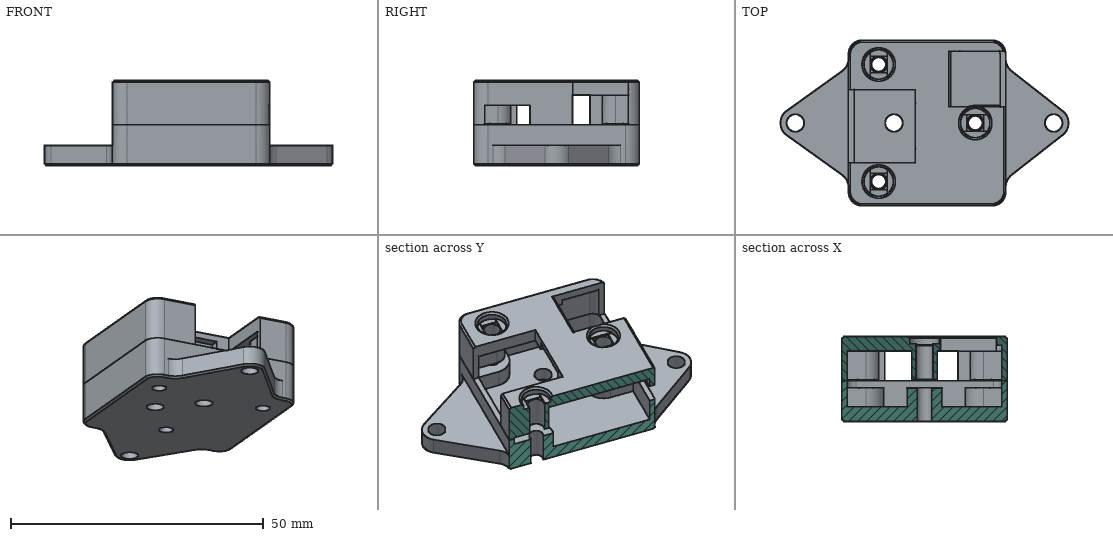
import cadquery as cq
import math

body_min_x = -15.05
body_max_x = 16.05
body_width = 32.75
corner_radius = 2.8
wall = 1.15
inner_corner_radius = corner_radius - wall
edge_chamfer = 0.4

total_height = 16.8
split_z = 8.1
floor_z = 2.95
base_boss_top_z = 6.65
lid_boss_bottom_z = 8.25
roof_underside_z = 13.9

inner_min_x = body_min_x + wall
inner_max_x = body_max_x - wall
inner_half_width = body_width / 2 - wall

ear_tip_x = 28.5
ear_radius = 2.95
ear_thickness = 4.0
ear_root_half_width = 11.15
ear_root_fillet = 3.0
ear_hole_diameter = 3.4
ear_hole_x = ear_tip_x - ear_radius

left_screw_x = -9.05
left_screw_y = 11.55
right_screw_x = 10.0
LEFT_SCREWS = [(left_screw_x, left_screw_y), (left_screw_x, -left_screw_y)]
RIGHT_SCREW = (right_screw_x, 0.0)
SCREWS = LEFT_SCREWS + [RIGHT_SCREW]

base_boss_radius = 3.5
base_screw_diameter = 2.8
floor_hole_diameter = 3.4
FLOOR_HOLES = [(-6.05, 0.0), (0.2, 7.6)]

lid_boss_radius = 2.55
lid_screw_diameter = 3.3
counterbore_diameter = 5.8
counterbore_depth = 1.4
bridge_layer = 0.2
left_window_end_x = -1.8
left_window_min_y = -7.8
left_window_max_y = 6.6
right_window_start_x = 5.2
right_window_min_y = 3.2
right_window_max_y = 14.2
notch_min_y = -5.05
notch_max_y = 3.9
notch_top_z = 15.55
notch_depth = 2.0
roof_pocket_min_x = 7.0
roof_pocket_top_z = 15.05
side_slot_min_y = -right_window_max_y
side_slot_max_y = -5.25
side_slot_top_z = 11.9


def block(x_range, y_range, z_range):
    """Axis-aligned box between the given limits."""
    (x0, x1), (y0, y1), (z0, z1) = x_range, y_range, z_range
    return cq.Workplane("XY").box(x1 - x0, y1 - y0, z1 - z0, centered=False).translate((x0, y0, z0))


def cylinder(place, diameter, z_range):
    """Upright cylinder at an (x, y) place."""
    z0, z1 = z_range
    return cq.Workplane("XY", origin=(*place, z0)).circle(diameter / 2).extrude(z1 - z0)


def rounded_box(inset, radius, z_range):
    """Housing outline moved inward by inset, with rounded vertical edges."""
    x_range = (body_min_x + inset, body_max_x - inset)
    half_width = body_width / 2 - inset
    return block(x_range, (-half_width, half_width), z_range).edges("|Z").fillet(radius)


def screw_boss(place, radius, z_range):
    """Round boss whose tangent sides run on into the nearest walls, trimmed to the cavity."""
    x, y = place
    boss = cylinder(place, 2 * radius, z_range)
    wall_x = inner_min_x if x < 0 else inner_max_x
    side_y = (y - radius, y + radius)
    boss = boss.union(block(sorted((x, wall_x)), side_y, z_range))
    if y:
        wall_y = math.copysign(inner_half_width, y)
        boss = boss.union(block((x - radius, x + radius), sorted((y, wall_y)), z_range))
        boss = boss.union(block(sorted((x, wall_x)), sorted((y, wall_y)), z_range))
    return boss.intersect(rounded_box(wall, inner_corner_radius, z_range))


def ear(side):
    """Tapered ear on the -X (side = -1) or +X (side = 1) end, tangent to its round tip."""
    root_x = body_min_x if side < 0 else body_max_x
    run = ear_hole_x - abs(root_x)
    reach = math.hypot(run, ear_root_half_width)
    tangent_angle = math.atan2(ear_root_half_width, -run) - math.acos(ear_radius / reach)
    tangent_x = side * (ear_hole_x + ear_radius * math.cos(tangent_angle))
    tangent_y = ear_radius * math.sin(tangent_angle)
    return (
        cq.Workplane("XY")
        .moveTo(0, ear_root_half_width)
        .lineTo(root_x, ear_root_half_width)
        .lineTo(tangent_x, tangent_y)
        .threePointArc((side * ear_tip_x, 0), (tangent_x, -tangent_y))
        .lineTo(root_x, -ear_root_half_width)
        .lineTo(0, -ear_root_half_width)
        .close()
        .extrude(ear_thickness)
    )


def fillet_ear_roots(base):
    """Round the four upright edges where the ears meet the body."""
    for x in (body_min_x, body_max_x):
        for y in (-ear_root_half_width, ear_root_half_width):
            near_edge = cq.selectors.BoxSelector((x - 0.55, y - 0.55, 0), (x + 0.55, y + 0.55, ear_thickness))
            base = base.edges("|Z").edges(near_edge).fillet(ear_root_fillet)
    return base


def make_base():
    """Lower tray with mounting ears, screw bosses and floor holes."""
    base = rounded_box(0, corner_radius, (0, split_z)).union(ear(-1)).union(ear(1))
    base = fillet_ear_roots(base)
    base = base.faces("<Z").chamfer(edge_chamfer)
    base = base.cut(rounded_box(wall, inner_corner_radius, (floor_z, split_z)))
    for place in SCREWS:
        base = base.union(screw_boss(place, base_boss_radius, (floor_z, base_boss_top_z)))
    for place in SCREWS:
        base = base.cut(cylinder(place, base_screw_diameter, (0, base_boss_top_z)))
    for place in FLOOR_HOLES:
        base = base.cut(cylinder(place, floor_hole_diameter, (0, floor_z)))
    for x in (-ear_hole_x, ear_hole_x):
        base = base.cut(cylinder((x, 0), ear_hole_diameter, (0, ear_thickness)))
    return base


def screw_recess(place, slot_along_x):
    """Chamfered counterbore, then a slot layer and a square layer, then the round screw hole."""
    x, y = place
    half_hole = lid_screw_diameter / 2
    counterbore_z = total_height - counterbore_depth
    slot_z = counterbore_z - bridge_layer
    square_z = slot_z - bridge_layer
    narrow_x = (x - half_hole, x + half_hole)
    narrow_y = (y - half_hole, y + half_hole)
    half_bore = counterbore_diameter / 2

    recess = cylinder(place, counterbore_diameter, (counterbore_z, total_height))
    countersink = (
        cq.Workplane("XY", origin=(x, y, total_height))
        .circle(half_bore + edge_chamfer)
        .workplane(offset=-edge_chamfer)
        .circle(half_bore)
        .loft()
    )
    slot_x = (x - half_bore, x + half_bore) if slot_along_x else narrow_x
    slot_y = narrow_y if slot_along_x else (y - half_bore, y + half_bore)
    slot_layer = block(slot_x, slot_y, (slot_z, counterbore_z))
    slot_layer = slot_layer.intersect(cylinder(place, counterbore_diameter, (slot_z, counterbore_z)))
    square_layer = block(narrow_x, narrow_y, (square_z, slot_z))
    hole = cylinder(place, lid_screw_diameter, (lid_boss_bottom_z, square_z))
    return recess.union(countersink).union(slot_layer).union(square_layer).union(hole)


def cut_left_window(lid):
    """Opening through the roof and the -X wall, with a notch under the roof at its inner end."""
    window = block(
        (body_min_x, left_window_end_x),
        (left_window_min_y, left_window_max_y),
        (split_z, total_height),
    )
    notch = block(
        (left_window_end_x, left_window_end_x + notch_depth),
        (notch_min_y, notch_max_y),
        (roof_underside_z, notch_top_z),
    )
    return lid.cut(window).cut(notch)


def cut_right_window(lid):
    """Opening through the roof and the +X wall, with a chamfered inner edge and a roof pocket."""
    y_range = (right_window_min_y, right_window_max_y)
    window = block((right_window_start_x, body_max_x), y_range, (split_z, total_height))
    bevel = (
        cq.Workplane("XZ", origin=(0, right_window_max_y, 0))
        .moveTo(right_window_start_x, total_height)
        .lineTo(right_window_start_x - edge_chamfer, total_height)
        .lineTo(right_window_start_x, total_height - edge_chamfer)
        .close()
        .extrude(right_window_max_y - right_window_min_y)
    )
    pocket_z = (roof_underside_z, roof_pocket_top_z)
    pocket = block(
        (roof_pocket_min_x, inner_max_x), (right_window_min_y, inner_half_width), pocket_z
    ).intersect(rounded_box(wall, inner_corner_radius, pocket_z))
    return lid.cut(window).cut(bevel).cut(pocket)


def make_lid():
    """Upper cover with two windows, a side slot and three screw recesses."""
    lid = rounded_box(0, corner_radius, (split_z, total_height)).faces(">Z").chamfer(edge_chamfer)
    lid = lid.cut(rounded_box(wall, inner_corner_radius, (split_z, roof_underside_z)))
    for place in SCREWS:
        lid = lid.union(screw_boss(place, lid_boss_radius, (lid_boss_bottom_z, roof_underside_z)))
    lid = cut_left_window(lid)
    lid = cut_right_window(lid)
    side_slot = block(
        (inner_max_x - inner_corner_radius, body_max_x),
        (side_slot_min_y, side_slot_max_y),
        (split_z, side_slot_top_z),
    )
    lid = lid.cut(side_slot)
    for place in SCREWS:
        lid = lid.cut(screw_recess(place, slot_along_x=place == RIGHT_SCREW))
    return lid


base = make_base()
lid = make_lid()

result = cq.Compound.makeCompound([base.val(), lid.val()])